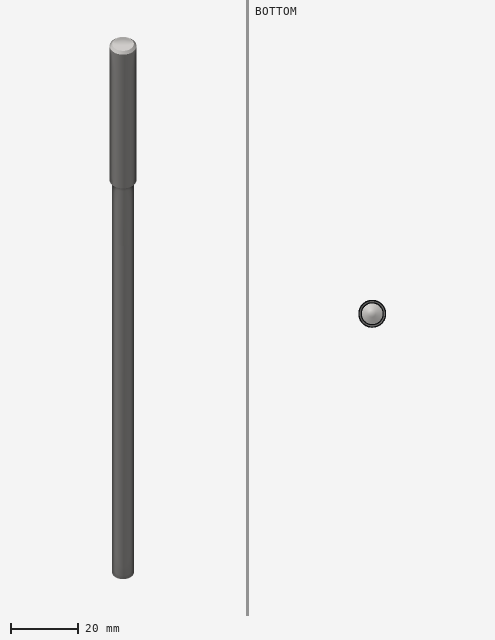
import cadquery as cq
import math

shank_diameter = 8.0
drill_diameter = 6.5
point_angle = 140.0
cutting_length = 130.0
overall_length = 206.0
shank_length = 53.0
end_chamfer = 0.8

shank_radius = shank_diameter / 2
drill_radius = drill_diameter / 2
point_height = drill_radius / math.tan(math.radians(point_angle / 2))
shoulder_height = overall_length - shank_length


def revolve_about_axis(profile):
    """Turn a closed (radius, height) profile into a solid about the Z axis."""
    return cq.Workplane("XZ").polyline(profile).close().revolve(360, (0, 0), (0, 1))


def make_cutting_part():
    """Plain cylinder with a conical point at the bottom."""
    return revolve_about_axis([
        (0, -point_height),
        (drill_radius, 0),
        (drill_radius, cutting_length),
        (0, cutting_length),
    ])


def make_shank():
    """Neck and wider shank with a chamfered end, standing on the cutting part."""
    return revolve_about_axis([
        (0, cutting_length),
        (drill_radius, cutting_length),
        (drill_radius, shoulder_height),
        (shank_radius, shoulder_height),
        (shank_radius, overall_length - end_chamfer),
        (shank_radius - end_chamfer, overall_length),
        (0, overall_length),
    ])


cutting_part = make_cutting_part()
shank = make_shank()

result = cq.Compound.makeCompound([cutting_part.val(), shank.val()])